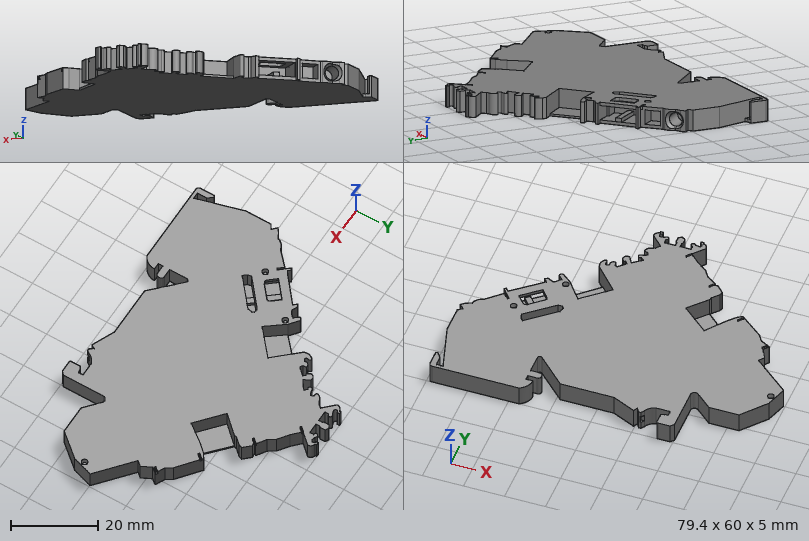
import cadquery as cq
import math

THICKNESS = 5.0
WIDTH = 79.35
HEIGHT = 60.0
CENTRE_X = 40.05
SLANT = 40.0
SLANT_ORIGIN = (8.75, 29.3)

WALL = 0.8
LABEL_FLOOR = 0.5

LABEL_POCKET = [(27.05, 42.6), (31.2, 38.1), (24.65, 32.5), (21.05, 37.2)]
HOOK_REACH = 0.37

CAVITY_ALONG = (0.35, 9.4)
NIB_HEIGHT = 1.2


def on_slope(along, outward):
    """Point on the terminal edge's own axes, in part coordinates."""
    angle = math.radians(SLANT)
    x = SLANT_ORIGIN[0] + along * math.cos(angle) - outward * math.sin(angle)
    y = SLANT_ORIGIN[1] + along * math.sin(angle) + outward * math.cos(angle)
    return (x, y)


def mirrored(point):
    return (2 * CENTRE_X - point[0], point[1])


def hook_base():
    """Lower end of the hook, in line with the upper side of the label pocket."""
    (x, y), (inner_x, inner_y) = LABEL_POCKET[:2]
    return (x + HOOK_REACH * (x - inner_x), y + HOOK_REACH * (y - inner_y))


FOOT_SIDE = 0.25
FOOT_RADIUS = 0.8
FOOT_BEVEL = FOOT_RADIUS * (1 - math.sqrt(0.5))
START = (FOOT_SIDE + FOOT_RADIUS, 0)

FLANK_TOP = (0, 12.8)
CLIP_TOP = (2.15, 5.2)
CLIP_FLOOR = 0.9
FLANK_RUN = (CLIP_TOP[0] - FLANK_TOP[0]) / (FLANK_TOP[1] - CLIP_TOP[1])
CLIP_BOTTOM = (CLIP_TOP[0] + FLANK_RUN * (CLIP_TOP[1] - CLIP_FLOOR), CLIP_FLOOR)

LEFT_SIDE = [
    ((FOOT_SIDE + FOOT_BEVEL, FOOT_BEVEL), (FOOT_SIDE, FOOT_RADIUS)),
    ((FOOT_SIDE, 4.6),),
    ((1.6, 4.9),),
    (CLIP_TOP,),
    (FLANK_TOP,),
    ((0, 19.6),),
    ((1.15, 20.4),),
    ((0, 21.5),),
]
TERMINAL_EDGE = [
    ((1.0, 22.3),),
    ((2.45, 22.95),),
    ((3.0, 24.1), (4.1, 24.85),),
    ((4.6, 25.05),),
    ((8.55, 28.75),),
    ((7.6, 29.9),),
    ((8.1, 30.2),),
    ((8.8, 29.45),),
    (on_slope(CAVITY_ALONG[1], 0),),
    (on_slope(CAVITY_ALONG[1], NIB_HEIGHT),),
    ((15.9, 36.6),),
    ((17.3, 35.95),),
    ((17.8, 36.1),),
    ((19.0, 37.3),),
    ((18.0, 38.3),),
    ((18.15, 38.9), (18.8, 39.0)),
    (LABEL_POCKET[3],),
]
STEPPED_EDGE = [
    (LABEL_POCKET[0],),
    (hook_base(),),
    ((25.35, 45.3),),
    ((25.5, 45.9), (26.2, 46.9)),
    ((26.6, 46.6), (26.6, 46.0)),
    ((26.95, 45.4), (27.5, 45.9)),
    ((28.1, 46.9), (28.7, 46.9)),
    ((28.8, 46.0),),
    ((29.4, 45.6),),
    ((31.15, 47.4),),
    ((30.6, 48.0),),
    ((30.3, 47.8),),
    ((29.7, 48.5),),
    ((30.2, 49.65), (31.1, 49.6)),
    ((32.0, 48.0),),
    ((34.3, 49.7),),
    ((33.6, 50.35),),
    ((32.75, 50.7), (33.2, 51.2)),
    ((34.1, 51.4),),
    ((34.6, 51.95), (34.1, 52.5)),
    ((33.5, 52.6),),
    ((33.6, 53.2), (34.9, 54.2)),
    ((35.5, 54.5),),
]
CROWN_FLOOR = 56.9
CROWN_LEFT = [
    ((36.35, 55.5),),
    ((33.65, 58.25),),
    ((33.9, 59.1), (34.75, 59.6)),
    ((34.75, HEIGHT),),
    ((35.45, HEIGHT),),
    ((35.45, 59.4),),
    ((34.9, 58.9), (35.4, 58.4)),
    ((36.3, 58.6),),
    ((37.1, 58.8), (37.3, 58.1)),
    ((36.8, 57.9),),
    ((36.8, CROWN_FLOOR),),
    ((39.45, CROWN_FLOOR),),
    ((39.45, 57.9),),
    ((39.2, 58.1),),
    ((39.2, 59.5),),
]
CROWN_TIP = (CENTRE_X, HEIGHT)
RIGHT_UPPER = [
    ((44.0, 55.5),),
    ((46.2, 53.4),),
    ((48.9, 51.4),),
    ((50.1, 49.6),),
    ((52.5, 48.0),),
    ((52.1, 47.5),),
    ((53.3, 47.6),),
    ((55.0, 45.8),),
    ((54.7, 44.9),),
    ((53.2, 43.3),),
    (mirrored(LABEL_POCKET[0]),),
    (mirrored(LABEL_POCKET[3]),),
]
RAIL_FOOT_SIDE = 59.8
RIGHT_LOWER = [
    ((60.9, 39.2),),
    ((62.1, 40.0),),
    ((67.9, 35.4),),
    ((68.9, 33.8),),
    ((71.3, 32.6),),
    ((70.25, 31.25),),
    ((71.55, 28.75),),
    ((70.5, 27.5),),
    ((WIDTH, 20.1),),
    ((77.65, 14.9),),
    ((72.55, 8.9),),
    ((65.2, 8.9),),
    ((61.5, 12.1),),
    ((60.6, 12.45), (RAIL_FOOT_SIDE, 11.6)),
]
RAIL_CEILING = 4.55
UNDERSIDE = [
    ((RAIL_FOOT_SIDE, 0.8),),
    ((58.95, 0),),
    ((56.1, 0),),
    ((55.8, 0.1), (55.7, 0.4)),
    ((55.7, 2.8),),
    ((56.5, 3.2),),
    ((57.35, 3.3),),
    ((57.35, RAIL_CEILING),),
    ((53.9, RAIL_CEILING),),
    ((52.7, 3.95), (51.75, 2.7)),
    ((51.2, 1.95),),
    ((50.65, 1.95),),
    ((49.95, 3.0),),
    ((49.4, 2.0),),
    ((43.7, RAIL_CEILING),),
    ((30.6, RAIL_CEILING),),
    ((23.7, 11.3),),
    ((23.1, 11.5), (22.7, 11.0)),
    ((22.7, 6.4),),
    ((25.0, 6.4),),
    ((25.55, 6.2), (25.75, 5.7)),
    ((25.75, 5.25),),
    ((25.55, 4.75), (25.0, RAIL_CEILING)),
    ((22.7, RAIL_CEILING),),
    ((22.7, 3.35),),
    ((24.4, 3.35),),
    ((23.8, 1.4), (22.2, 0)),
]

CAVITY_DEPTH = 7.2
CAVITY_STEP = 0.5
CAVITY_STEP_INWARD = 4.0
WINDOW_ALONG = (1.95, 7.75)
WINDOW_INWARD = (2.2, 5.6)
WINDOW_RADIUS = 0.8
BAR_ALONG = (4.1, 5.55)
BAR_HEIGHT = 0.9
SLOT_INWARD = (8.2, 10.3)
SLOT_ALONG = (-0.1, 10.1)
SLOT_START_BEVEL = (0.5, 0.9)
SLOT_OUTER_BEVEL = (0.8, 0.7)
SLOT_INNER_BEVEL = (1.1, 0.8)
SOCKET_ALONG = (-5.3, -1.55)
SOCKET_DEPTH = 4.0
FUNNEL_ALONG = -8.9
FUNNEL_MOUTH_RADIUS = 2.45
FUNNEL_BORE_RADIUS = 1.6
FUNNEL_LENGTH = 1.2
FUNNEL_BORE_DEPTH = 6.0
EDGE_MARGIN = 1.2

PIN_HOLES = [(11.65, 25.3), (20.4, 36.1), (77.25, 17.3)]
PIN_MOUTH_RADIUS = 0.75
PIN_BOTTOM_RADIUS = 0.5
PIN_DEPTH = 1.0
LEFT_SLIT_ANGLE = SLANT - 90
RIGHT_SLIT_ANGLE = 90 - SLANT
SLITS = [
    ((9.1, 27.8), LEFT_SLIT_ANGLE),
    ((43.6, 54.9), RIGHT_SLIT_ANGLE),
    ((52.0, 47.35), RIGHT_SLIT_ANGLE),
    ((62.0, 38.9), RIGHT_SLIT_ANGLE),
    ((70.4, 32.3), RIGHT_SLIT_ANGLE),
]
SLIT_LENGTH = 1.6
SLIT_WIDTH = 0.4
CLIP_RECESS = [(0.6, 4.9), (1.75, 3.4), (1.75, CLIP_FLOOR), CLIP_BOTTOM, CLIP_TOP]
RIB_NOTCH_Z = (1.9, 3.5)
RIB_NOTCH_X = (51.0, 52.2)
RIB_NOTCH_Y = (1.5, 2.7)


def trace(path, steps):
    """Continue a path with straight and arc steps."""
    for step in steps:
        if len(step) == 1:
            path = path.lineTo(*step[0])
        else:
            path = path.threePointArc(*step)
    return path


def mirrored_back(steps, start):
    """The same steps mirrored about CENTRE_X and walked from their end to `start`."""
    ends = [start] + [step[-1] for step in steps]
    back = []
    for index in range(len(steps) - 1, -1, -1):
        points = list(steps[index][:-1]) + [ends[index]]
        back.append(tuple(mirrored(point) for point in points))
    return back


def body():
    crown_start = CROWN_LEFT[0][0]
    crown_steps = CROWN_LEFT[1:]
    crown_end = crown_steps[-1][-1]
    path = cq.Workplane("XY").moveTo(*START)
    path = trace(path, LEFT_SIDE + TERMINAL_EDGE + STEPPED_EDGE + CROWN_LEFT)
    path = path.lineTo(*CROWN_TIP).lineTo(*mirrored(crown_end))
    path = trace(path, mirrored_back(crown_steps, crown_start)[:-1])
    path = trace(path, RIGHT_UPPER + RIGHT_LOWER + UNDERSIDE)
    return path.close().extrude(THICKNESS)


def prism(points, bottom, top):
    return cq.Workplane("XY").workplane(offset=bottom).polyline(points).close().extrude(top - bottom)


def box(x_range, y_range, z_range):
    """A box from its limits on the three axes."""
    sizes = [high - low for low, high in (x_range, y_range, z_range)]
    corner = (x_range[0], y_range[0], z_range[0])
    return cq.Workplane("XY").box(*sizes, centered=False).translate(corner)


def slant_box(along, inward, z_range):
    return box(along, (-inward[1], -inward[0]), z_range)


def on_slant(shape):
    """Place a shape built in the terminal edge's own axes."""
    return shape.rotate((0, 0, 0), (0, 0, 1), SLANT).translate((*SLANT_ORIGIN, 0))


def label_pockets():
    left = prism(LABEL_POCKET, LABEL_FLOOR, THICKNESS)
    right_points = [mirrored(corner) for corner in LABEL_POCKET]
    return left.union(prism(right_points, LABEL_FLOOR, THICKNESS))


def cavity():
    """Clamp chamber open at the edge, with a window through its upper wall."""
    inner_z = (WALL, THICKNESS - WALL)
    start, end = CAVITY_ALONG
    outer = slant_box((start, end), (-EDGE_MARGIN, CAVITY_STEP_INWARD), inner_z)
    inner = slant_box((start, end - CAVITY_STEP), (CAVITY_STEP_INWARD, CAVITY_DEPTH), inner_z)
    window = slant_box(WINDOW_ALONG, WINDOW_INWARD, (THICKNESS / 2, THICKNESS))
    window = window.faces("<Y").edges("|Z").fillet(WINDOW_RADIUS)
    return on_slant(outer.union(inner).union(window))


def slot():
    near, far = SLOT_INWARD
    start, end = SLOT_ALONG
    outline = [
        (start, -far),
        (end - SLOT_INNER_BEVEL[0], -far),
        (end, -far + SLOT_INNER_BEVEL[1]),
        (end, -near - SLOT_OUTER_BEVEL[1]),
        (end - SLOT_OUTER_BEVEL[0], -near),
        (start + SLOT_START_BEVEL[0], -near),
        (start, -near - SLOT_START_BEVEL[1]),
    ]
    return on_slant(prism(outline, WALL, THICKNESS))


def bar():
    """Busbar lying on the chamber floor and running on below the slot."""
    return on_slant(slant_box(BAR_ALONG, (0, SLOT_INWARD[1]), (WALL, WALL + BAR_HEIGHT)))


def socket():
    z_range = (WALL, THICKNESS - WALL)
    return on_slant(slant_box(SOCKET_ALONG, (-EDGE_MARGIN, SOCKET_DEPTH), z_range))


def wire_funnel():
    """Tapered wire entry, its axis square to the terminal edge."""
    mouth = cq.Vector(FUNNEL_ALONG, 0, THICKNESS / 2)
    inward = cq.Vector(0, -1, 0)
    cone = cq.Solid.makeCone(
        FUNNEL_MOUTH_RADIUS,
        FUNNEL_BORE_RADIUS,
        FUNNEL_LENGTH,
        pnt=mouth,
        dir=inward,
    )
    bore = cq.Solid.makeCylinder(FUNNEL_BORE_RADIUS, FUNNEL_BORE_DEPTH, pnt=mouth, dir=inward)
    return on_slant(cq.Workplane(cone).union(cq.Workplane(bore)))


def pin_holes():
    holes = cq.Workplane("XY")
    for x, y in PIN_HOLES:
        hole = cq.Solid.makeCone(
            PIN_BOTTOM_RADIUS,
            PIN_MOUTH_RADIUS,
            PIN_DEPTH,
            pnt=cq.Vector(x, y, THICKNESS - PIN_DEPTH),
        )
        holes = holes.add(hole)
    return holes.combine()


def slits():
    cuts = cq.Workplane("XY")
    for (x, y), angle in SLITS:
        cut = box(
            (-SLIT_LENGTH / 2, SLIT_LENGTH / 2),
            (-SLIT_WIDTH / 2, SLIT_WIDTH / 2),
            (THICKNESS - WALL, THICKNESS),
        )
        cuts = cuts.add(cut.rotate((0, 0, 0), (0, 0, 1), angle).translate((x, y, 0)))
    return cuts.combine()


part = body()
part = part.cut(label_pockets())
part = part.cut(cavity())
part = part.cut(slot())
part = part.union(bar())
part = part.cut(socket())
part = part.cut(wire_funnel())
part = part.cut(pin_holes())
part = part.cut(slits())
part = part.cut(prism(CLIP_RECESS, WALL, THICKNESS))
part = part.cut(box(RIB_NOTCH_X, RIB_NOTCH_Y, RIB_NOTCH_Z))

result = part